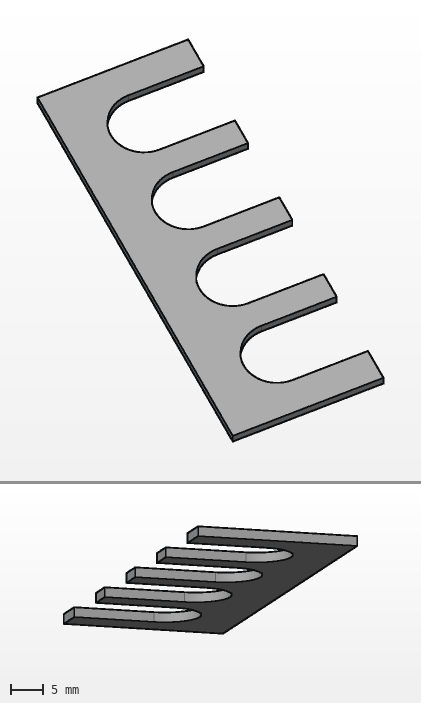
import cadquery as cq

length = 69.85
width = 25.4
thickness = 1.55

slot_count = 4
slot_pitch = 15.85
slot_width = 11.2
spine_width = 7.1

slot_radius = slot_width / 2
arc_center_y = spine_width + slot_radius
first_slot_x = (length - (slot_count - 1) * slot_pitch) / 2


def open_slot(center_x):
    """Cutter with straight sides and a semicircular bottom."""
    left = center_x - slot_radius
    right = center_x + slot_radius
    return (
        cq.Workplane("XY")
        .moveTo(left, width)
        .lineTo(left, arc_center_y)
        .threePointArc((center_x, spine_width), (right, arc_center_y))
        .lineTo(right, width)
        .close()
        .extrude(thickness)
    )


result = cq.Workplane("XY").box(length, width, thickness, centered=False)
for index in range(slot_count):
    result = result.cut(open_slot(first_slot_x + index * slot_pitch))